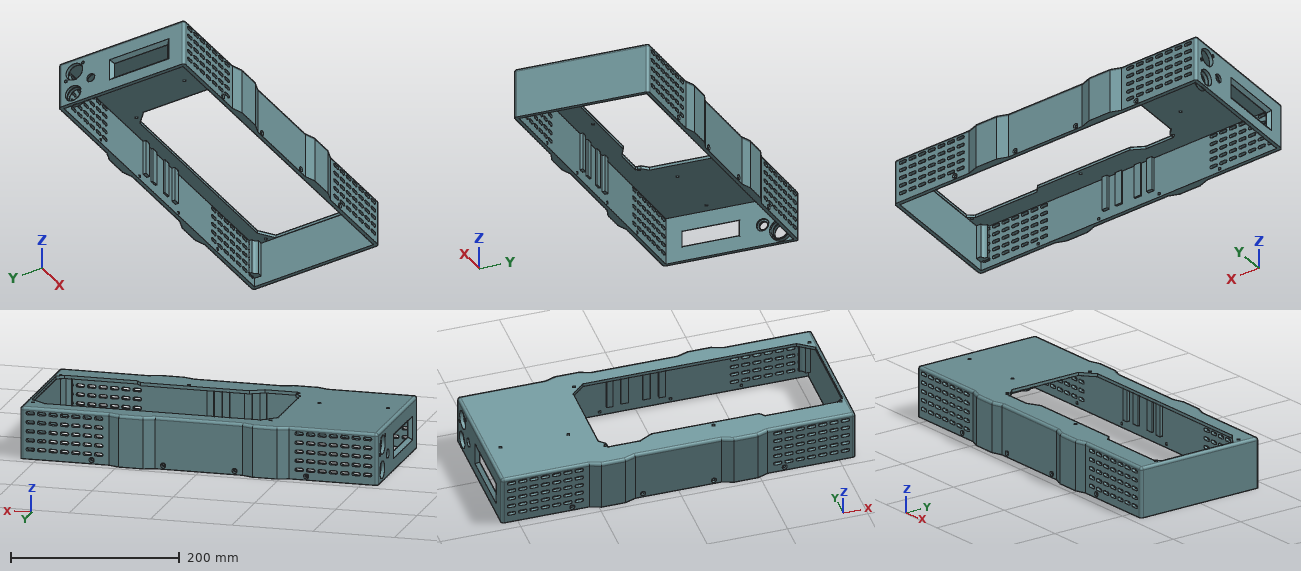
import cadquery as cq
LENGTH = 440.0
WIDTH = 185.0
BODY_WIDTH = 175.0
HEIGHT = 64.0
WALL = 5.0
TOP_WALL = 4.0
EDGE_RADIUS = 3.5

BAND_OUT = (WIDTH - BODY_WIDTH) / 2
BAND_BASE = 57.0
BAND_FLAT = 30.0
BAND_OFFSET = 82.5

SLOT_LENGTH = 10.0
SLOT_HEIGHT = 4.0
SLOT_COLUMNS = 7
SLOT_ROWS = 5
SLOT_GRID_LENGTH = 84.0
SLOT_GRID_HEIGHT = 44.5
SLOT_GRID_OFFSET = 165.5
SLOT_GRID_Z = 34.5

SIDE_SCREW_DIAMETER = 3.3
SIDE_SCREW_HEAD = 6.0
SIDE_SCREW_PITCH = 88.0
SIDE_SCREW_COUNT = 4
SIDE_SCREW_Z = 5.0

OPENING_REAR_X = 434.5
OPENING_OUTLINE = [
    (133.0, 51.0),
    (150.0, 66.5),
    (415.5, 66.5),
    (OPENING_REAR_X, 53.0),
    (OPENING_REAR_X, -53.0),
    (426.5, -59.0),
    (336.5, -59.0),
    (331.5, -53.0),
    (197.0, -53.0),
    (180.5, -62.0),
    (140.5, -62.0),
    (140.5, -55.0),
    (133.0, -47.5),
]
TOP_SCREW_DIAMETER = 3.5
TOP_SCREW_POINTS = [
    (138.0, 64.2),
    (430.8, 64.2),
    (138.0, -58.5),
    (273.0, -58.5),
    (430.8, -58.5),
    (18.5, -24.0),
    (103.0, -24.0),
]

SOCKET_Y = 67.5
SOCKET_Z = 14.0
BUTTON_Y = 42.5
BUTTON_Z = 27.5
PANEL_HOLES = [
    (65.5, 44.5, 23.0),
    (SOCKET_Y, SOCKET_Z, 21.0),
    (BUTTON_Y, BUTTON_Z, 11.0),
    (53.5, 53.2, 3.5),
    (77.5, 34.8, 3.5),
]

COLLAR_DIAMETER = 26.5
COLLAR_BORE = 23.0
COLLAR_END_X = 10.0
RECESS_DIAMETER = 16.0
RECESS_START_X = 2.5

WINDOW_CENTRE_Y = -24.5
WINDOW_CENTRE_Z = 29.0
WINDOW_WIDTH = 74.0
WINDOW_HEIGHT = 20.2
WINDOW_BEVEL = 4.5

HANGER_BOTTOM = 12.5
POST_FRONT_X = 423.5
POST_INNER_Y = 73.5
POST_COVE_RADIUS = 5.5
RIBS = [(32.5, 8.0, 4.0), (13.5, 9.2, 2.0)]

MID_X = LENGTH / 2
HALF_WIDTH = BODY_WIDTH / 2
INNER_HALF_WIDTH = HALF_WIDTH - WALL
HANGER_HEIGHT = HEIGHT - TOP_WALL - HANGER_BOTTOM
HALVES = (-1, 1)


def side_points():
    """Plan points of the +Y side, from the front panel to the rear wall."""
    points = [(0, HALF_WIDTH)]
    for end in HALVES:
        centre = MID_X + end * BAND_OFFSET
        points += [
            (centre - BAND_BASE / 2, HALF_WIDTH),
            (centre - BAND_FLAT / 2, HALF_WIDTH + BAND_OUT),
            (centre + BAND_FLAT / 2, HALF_WIDTH + BAND_OUT),
            (centre + BAND_BASE / 2, HALF_WIDTH),
        ]
    return points + [(LENGTH, HALF_WIDTH)]


def rounded_body():
    upper = side_points()
    lower = [(x, -y) for x, y in reversed(upper)]
    body = cq.Workplane("XY").polyline(upper + lower).close().extrude(HEIGHT)
    corners = cq.selectors.BoxSelector((-4.5, -HALF_WIDTH - 0.5, 0), (LENGTH + 4.5, HALF_WIDTH + 0.5, HEIGHT))
    body = body.edges("|Z").edges("<X or >X").edges(corners).fillet(EDGE_RADIUS)
    return body.faces(">Z").edges().fillet(EDGE_RADIUS)


def cavity():
    size_x = LENGTH - 2 * WALL
    block = cq.Workplane("XY").box(size_x, 2 * INNER_HALF_WIDTH, HEIGHT - TOP_WALL, centered=(False, True, False))
    return block.translate((WALL, 0, 0))


def top_cuts():
    opening = cq.Workplane("XY").polyline(OPENING_OUTLINE).close().extrude(HEIGHT)
    screws = cq.Workplane("XY").pushPoints(TOP_SCREW_POINTS).circle(TOP_SCREW_DIAMETER / 2).extrude(HEIGHT)
    return opening.union(screws)


def side_slots():
    """Two grids of slots running right across both long sides."""
    pitch_x = SLOT_GRID_LENGTH / (SLOT_COLUMNS - 1)
    pitch_z = SLOT_GRID_HEIGHT / (SLOT_ROWS - 1)
    centres = [(MID_X + end * SLOT_GRID_OFFSET, SLOT_GRID_Z) for end in HALVES]
    slots = cq.Workplane("XZ")
    for centre in centres:
        grid = cq.Workplane("XZ", origin=(centre[0], 0, centre[1]))
        grid = grid.rarray(pitch_x, pitch_z, SLOT_COLUMNS, SLOT_ROWS)
        slots = slots.add(grid.slot2D(SLOT_LENGTH, SLOT_HEIGHT).extrude(WIDTH / 2, both=True))
    return slots.combine()


def side_screws():
    """Countersunk holes through both long sides."""
    cuts = cq.Workplane("XY")
    sink_depth = (SIDE_SCREW_HEAD - SIDE_SCREW_DIAMETER) / 2
    for index in range(SIDE_SCREW_COUNT):
        x = MID_X + (index - (SIDE_SCREW_COUNT - 1) / 2) * SIDE_SCREW_PITCH
        for side in HALVES:
            start = cq.Vector(x, side * HALF_WIDTH, SIDE_SCREW_Z)
            inward = cq.Vector(0, -side, 0)
            cuts = cuts.add(cq.Solid.makeCylinder(SIDE_SCREW_DIAMETER / 2, 2 * WALL, start, inward))
            cuts = cuts.add(
                cq.Solid.makeCone(SIDE_SCREW_HEAD / 2, SIDE_SCREW_DIAMETER / 2, sink_depth, start, inward)
            )
    return cuts.combine()


def panel_cuts():
    """Round holes and the bevelled display window in the front panel."""
    panel = cq.Workplane("YZ")
    window = panel.center(WINDOW_CENTRE_Y, WINDOW_CENTRE_Z)
    cuts = window.rect(WINDOW_WIDTH, WINDOW_HEIGHT).extrude(WALL)
    bevel = (
        window.rect(WINDOW_WIDTH + 2 * WINDOW_BEVEL, WINDOW_HEIGHT + 2 * WINDOW_BEVEL)
        .workplane(offset=WINDOW_BEVEL)
        .rect(WINDOW_WIDTH, WINDOW_HEIGHT)
        .loft(combine=True)
    )
    cuts = cuts.union(bevel)
    for y, z, diameter in PANEL_HOLES:
        cuts = cuts.union(panel.center(y, z).circle(diameter / 2).extrude(WALL))
    recess = cq.Workplane("YZ", origin=(RECESS_START_X, BUTTON_Y, BUTTON_Z))
    return cuts.union(recess.circle(RECESS_DIAMETER / 2).extrude(WALL - RECESS_START_X))


def socket_collar():
    collar = cq.Workplane("YZ", origin=(WALL, SOCKET_Y, SOCKET_Z))
    return (
        collar.circle(COLLAR_DIAMETER / 2).circle(COLLAR_BORE / 2).extrude(COLLAR_END_X - WALL)
    )


def rear_post():
    """Post in the rear +Y corner with a cove on its inner edge."""
    cove_x = POST_FRONT_X + POST_COVE_RADIUS
    cove_y = POST_INNER_Y + POST_COVE_RADIUS
    rear_x = LENGTH - WALL
    return (
        cq.Workplane("XY", origin=(0, 0, HANGER_BOTTOM))
        .moveTo(POST_FRONT_X, INNER_HALF_WIDTH)
        .lineTo(POST_FRONT_X, cove_y)
        .radiusArc((cove_x, POST_INNER_Y), POST_COVE_RADIUS)
        .lineTo(rear_x, POST_INNER_Y)
        .lineTo(rear_x, INNER_HALF_WIDTH)
        .close()
        .extrude(HANGER_HEIGHT)
    )


def wall_ribs():
    ribs = cq.Workplane("XY")
    for distance, width, depth in RIBS:
        for end in HALVES:
            rib = cq.Workplane("XY").box(width, depth, HANGER_HEIGHT, centered=(True, False, False))
            place = (MID_X + end * distance, INNER_HALF_WIDTH - depth, HANGER_BOTTOM)
            ribs = ribs.add(rib.translate(place))
    return ribs.combine()


hangers = rear_post().union(wall_ribs())
shell = rounded_body().cut(cavity()).cut(side_slots()).cut(side_screws()).cut(panel_cuts())
shell = shell.union(socket_collar()).union(hangers).union(hangers.mirror("XZ"))
result = shell.cut(top_cuts())